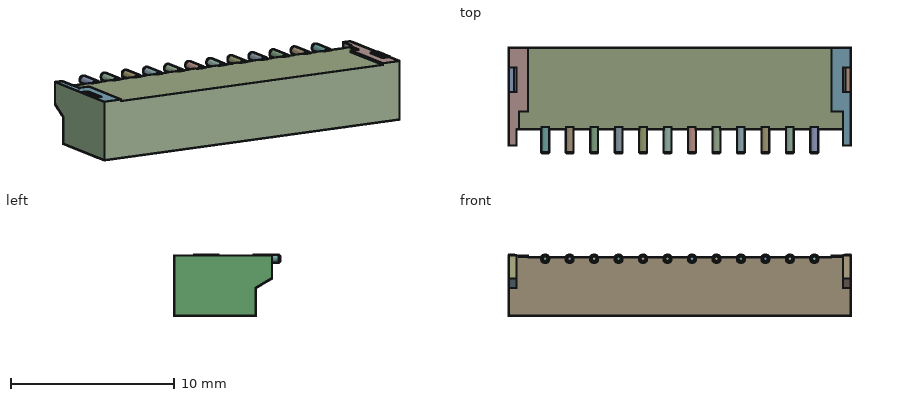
import cadquery as cq

length = 21.0
depth = 5.0
deck_height = 3.6

arm_width = 0.5
arm_reach = 1.0
arm_root_z = 1.7
arm_tip_z = 2.3

land_height = 3.7
land_width = 1.2
land_back_depth = 3.9
left_land_front_width = 0.65
right_land_front_width = arm_width

overall_height = 3.75
rib_length = 1.5
rib_back_offset = 1.2
rib_crest_outer = 0.03
rib_crest_inner = 0.35
rib_foot_inner = arm_width

pin_count = 12
pin_pitch = 1.5
pin_diameter = 0.5
pin_reach = 1.5
pin_embed = 0.15
pin_tip_chamfer = 0.1

half_length = length / 2
LEFT = -1
RIGHT = 1


def make_housing():
    return cq.Workplane("XY").box(length, depth, deck_height, centered=(True, False, False))


def make_land(side, front_width):
    """Stepped plate on the deck: wide at the back, narrow at the front."""
    outer_x = side * half_length
    wide_x = side * (half_length - land_width)
    narrow_x = side * (half_length - front_width)
    step_y = depth - land_back_depth
    outline = [
        (outer_x, 0),
        (outer_x, depth),
        (wide_x, depth),
        (wide_x, step_y),
        (narrow_x, step_y),
        (narrow_x, 0),
    ]
    plate = cq.Workplane("XY").workplane(offset=deck_height).polyline(outline).close()
    return plate.extrude(land_height - deck_height)


def make_arm(side):
    """Forward arm with a sloped underside, flush with the end face."""
    start_x = -half_length if side == LEFT else half_length - arm_width
    profile = [
        (0, arm_root_z),
        (-arm_reach, arm_tip_z),
        (-arm_reach, land_height),
        (0, land_height),
    ]
    return cq.Workplane("YZ").workplane(offset=start_x).polyline(profile).close().extrude(arm_width)


def make_rib(side):
    """Low rib of trapezoidal section running along Y."""
    back_y = depth - rib_back_offset
    section = [
        (side * half_length, land_height),
        (side * (half_length - rib_crest_outer), overall_height),
        (side * (half_length - rib_crest_inner), overall_height),
        (side * (half_length - rib_foot_inner), land_height),
    ]
    return cq.Workplane("XZ", origin=(0, back_y, 0)).polyline(section).close().extrude(rib_length)


def make_pin(x):
    """Round pin pointing forward, its top level with the overall height."""
    axis_z = overall_height - pin_diameter / 2
    pin = (
        cq.Workplane("XZ", origin=(x, pin_embed, axis_z))
        .circle(pin_diameter / 2)
        .extrude(pin_embed + pin_reach)
    )
    return pin.faces("<Y").chamfer(pin_tip_chamfer)


result = make_housing()
for end, front_width in ((LEFT, left_land_front_width), (RIGHT, right_land_front_width)):
    result = result.union(make_land(end, front_width))
    result = result.union(make_arm(end))
    result = result.union(make_rib(end))

first_pin_x = -pin_pitch * (pin_count - 1) / 2
for index in range(pin_count):
    result = result.union(make_pin(first_pin_x + index * pin_pitch))